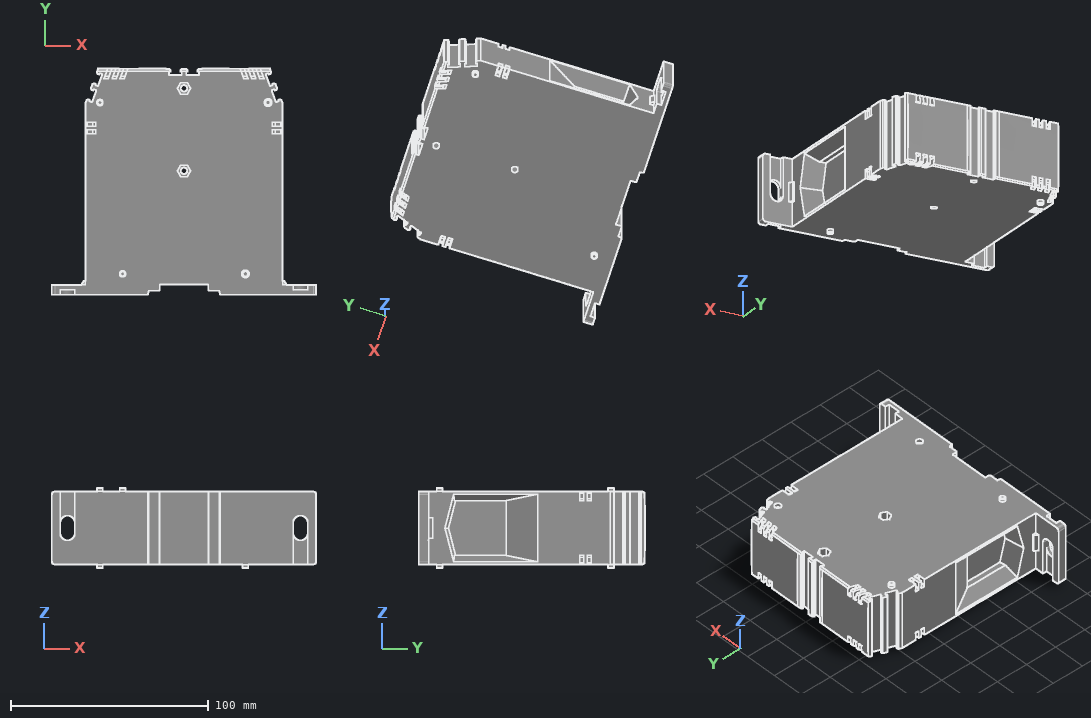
import cadquery as cq
import math

thickness = 37.0
half_thickness = thickness / 2
total_depth = 114.85
rear_y = 114.4
body_half_width = 50.0
shoulder_y = 97.0
rear_half_width = 43.6
rear_chamfer_y = 1.1
rear_chamfer_z = 0.6

flange_width = 134.0
flange_thickness = 5.0
flange_corner_radius = 1.5
rail_wide_half = 18.25
rail_narrow_half = 12.6
rail_shallow_depth = 2.0
rail_deep_depth = 5.1
rail_wall_draft = 0.45
rail_mouth_bevel = 0.4

slot_x = 59.0
slot_width = 7.3
slot_length = 12.4
slot_front_depth = 2.5

t_slot_width = 15.0
t_slot_mouth = 13.6
t_slot_depth = 2.95
t_lip_height = 1.5
t_rib_neck = 2.4
t_rib_head = 3.6
t_edge_bevel = 0.6

pad_inner_x = 9.2
pad_half_height = 17.9
pad_root_depth = 0.5

notch_width = 2.1
side_notch_ys = (82.6, 86.4)
rear_notch_xs = (31.4, 35.4, 39.5)
side_notch_reach = 5.2
rear_notch_reach = 5.0
notch_drop = 4.7
notch_floor_inset = 3.8
notch_outer_chamfer = 1.1
notch_end_rise = 0.9
notch_overrun = 3.0

grip_rear_y = 60.2
grip_ramp_end_y = 44.3
grip_ramp_depth = 8.5
grip_depth = 12.0
grip_mouth_half_height = 17.1
grip_floor_half_height = 13.9
grip_tip_y = 13.3
grip_tip_lean = 1.8
grip_v_slope = 0.258

nub_half_height = 5.2
nub_reach = 2.1
nub_height = 2.0
nub_crest = 0.8
pin_diameter = 3.1
pin_height = 2.0
pin_edge_chamfer = 0.4
socket_diameter = 3.8
socket_bottom_diameter = 2.6
socket_depth = 2.0
rear_pin = (42.6, 97.4)
front_pin = (31.1, 10.6)
hex_flats = 5.8
hex_depth = 6.0
screw_hole_diameter = 3.2
screw_ys = (62.8, 104.6)

shoulder_run = body_half_width - rear_half_width
shoulder_rise = rear_y - shoulder_y
shoulder_lean = math.degrees(math.atan2(shoulder_run, shoulder_rise))


def mirror_x(shape):
    """Return the shape joined with its mirror image across x = 0."""
    return shape.union(shape.mirror("YZ"))


def mirror_z(shape):
    """Return the shape joined with its mirror image across z = 0."""
    return shape.union(shape.mirror("XY"))


def full_height_prism(points):
    """Extrude an XY outline through the housing thickness."""
    return cq.Workplane("XY").polyline(points).close().extrude(half_thickness, both=True)


def make_body():
    outline = [
        (-body_half_width, 0),
        (-body_half_width, shoulder_y),
        (-rear_half_width, rear_y),
        (rear_half_width, rear_y),
        (body_half_width, shoulder_y),
        (body_half_width, 0),
    ]
    body = full_height_prism(outline)
    edge_strip = (
        cq.Workplane("YZ")
        .polyline([
            (rear_y - rear_chamfer_y, half_thickness),
            (rear_y, half_thickness - rear_chamfer_z),
            (rear_y, half_thickness),
        ])
        .close()
        .extrude(body_half_width, both=True)
    )
    return body.cut(mirror_z(edge_strip))


def make_flange():
    return (
        cq.Workplane("XZ")
        .rect(flange_width, thickness)
        .extrude(-flange_thickness)
        .edges("|Y")
        .fillet(flange_corner_radius)
    )


def make_rail_recess():
    half_outline = [
        (rail_wide_half, 0),
        (rail_wide_half - rail_wall_draft, rail_shallow_depth),
        (rail_narrow_half, rail_shallow_depth),
        (rail_narrow_half - rail_mouth_bevel, rail_shallow_depth + rail_mouth_bevel),
        (rail_narrow_half - rail_mouth_bevel, rail_deep_depth),
    ]
    mirrored = [(-x, y) for x, y in reversed(half_outline)]
    return full_height_prism(half_outline + mirrored)


def make_slot_channels():
    """Slot in the right ear: front channel open at the bottom, back channel open at the top."""
    end_offset = (slot_length - slot_width) / 2
    channel_length = half_thickness + end_offset

    def channel(start_y, depth, z_direction):
        plane = cq.Workplane("XZ", origin=(slot_x, start_y, 0))
        straight = (
            plane.center(0, z_direction * (channel_length / 2 - end_offset))
            .rect(slot_width, channel_length)
            .extrude(-depth)
        )
        round_end = plane.center(0, -z_direction * end_offset).circle(slot_width / 2).extrude(-depth)
        return straight.union(round_end)

    front = channel(0, slot_front_depth, -1)
    back = channel(slot_front_depth, flange_thickness - slot_front_depth, 1)
    return front.union(back)


def make_t_slot():
    """T-slot with a central T-rib, opening toward +Y with its mouth at y = 0."""
    channel = (
        cq.Workplane("XY")
        .center(0, -(t_slot_depth + t_lip_height) / 2)
        .rect(t_slot_width, t_slot_depth - t_lip_height)
        .extrude(half_thickness, both=True)
    )
    mouth_half = t_slot_mouth / 2
    mouth = full_height_prism([
        (-mouth_half, -t_slot_depth),
        (-mouth_half, -t_edge_bevel),
        (-mouth_half - t_edge_bevel, 0),
        (mouth_half + t_edge_bevel, 0),
        (mouth_half, -t_edge_bevel),
        (mouth_half, -t_slot_depth),
    ])
    rib_neck = (
        cq.Workplane("XY")
        .center(0, -t_slot_depth / 2)
        .rect(t_rib_neck, t_slot_depth)
        .extrude(half_thickness, both=True)
    )
    rib_head = (
        cq.Workplane("XY")
        .center(0, -t_lip_height / 2)
        .rect(t_rib_head, t_lip_height)
        .extrude(half_thickness, both=True)
        .edges(">Y and |Z")
        .chamfer(t_edge_bevel)
    )
    return channel.union(mouth).cut(rib_neck).cut(rib_head)


def make_shoulder_t_slots():
    middle_x = (body_half_width + rear_half_width) / 2
    middle_y = (shoulder_y + rear_y) / 2
    slot = (
        make_t_slot()
        .rotate((0, 0, 0), (0, 0, 1), shoulder_lean - 90)
        .translate((middle_x, middle_y, 0))
    )
    return mirror_x(slot)


def make_label_pads():
    """Label pads whose rear faces bulge as an arc across the thickness."""
    pad = (
        cq.Workplane("YZ", origin=(pad_inner_x, 0, 0))
        .moveTo(rear_y - pad_root_depth, -pad_half_height)
        .lineTo(rear_y, -pad_half_height)
        .threePointArc((total_depth, 0), (rear_y, pad_half_height))
        .lineTo(rear_y - pad_root_depth, pad_half_height)
        .close()
        .extrude(rear_half_width - pad_inner_x)
    )
    return mirror_x(pad)


def notch_section(edge, reach):
    """Corner-notch outline as (position, z); edge is the position of the side face."""
    floor_z = half_thickness - notch_floor_inset
    return [
        (edge - reach, half_thickness),
        (edge - notch_floor_inset, half_thickness - notch_end_rise),
        (edge - notch_floor_inset, floor_z),
        (edge - notch_outer_chamfer, floor_z),
        (edge, half_thickness - notch_drop),
        (edge + notch_overrun, half_thickness - notch_drop),
        (edge + notch_overrun, half_thickness),
    ]


def make_side_notches():
    notches = cq.Workplane("XY")
    for y in side_notch_ys:
        notch = (
            cq.Workplane("XZ", origin=(0, y, 0))
            .polyline(notch_section(body_half_width, side_notch_reach))
            .close()
            .extrude(notch_width / 2, both=True)
        )
        notches = notches.add(notch)
    return mirror_z(mirror_x(notches.combine()))


def make_rear_notches():
    """Notches through the rear edges, leaning parallel to the shoulders."""
    inner_end_y = rear_y - rear_notch_reach
    lean = math.tan(math.radians(shoulder_lean))
    reach = rear_notch_reach + notch_overrun
    notches = cq.Workplane("XY")
    for x in rear_notch_xs:
        outline = notch_section(rear_y, rear_notch_reach)
        block = cq.Workplane("YZ").polyline(outline).close().extrude(body_half_width)
        half = notch_width / 2
        band = full_height_prism([
            (x - half, inner_end_y),
            (x + half, inner_end_y),
            (x + half - reach * lean, inner_end_y + reach),
            (x - half - reach * lean, inner_end_y + reach),
        ])
        notches = notches.add(block.intersect(band))
    return mirror_z(mirror_x(notches.combine()))


def make_grips():
    """Ramped recess in each flank with drafted walls and a V-shaped front end."""
    mouth_x = body_half_width
    ramp_x = mouth_x - grip_ramp_depth
    floor_x = mouth_x - grip_depth
    ramp = full_height_prism([
        (mouth_x, grip_rear_y),
        (ramp_x, grip_ramp_end_y),
        (floor_x, grip_ramp_end_y),
        (floor_x, 0),
        (mouth_x, 0),
    ])
    walls = (
        cq.Workplane("XZ")
        .polyline([
            (mouth_x, grip_mouth_half_height),
            (ramp_x, grip_floor_half_height),
            (floor_x, grip_floor_half_height),
            (floor_x, -grip_floor_half_height),
            (ramp_x, -grip_floor_half_height),
            (mouth_x, -grip_mouth_half_height),
        ])
        .close()
        .extrude(-grip_rear_y)
    )
    corner_rise = grip_v_slope * half_thickness

    def v_outline(tip_y):
        return [
            (tip_y, 0),
            (tip_y + corner_rise, half_thickness),
            (grip_rear_y, half_thickness),
            (grip_rear_y, -half_thickness),
            (tip_y + corner_rise, -half_thickness),
        ]

    v_end = (
        cq.Workplane("YZ", origin=(floor_x, 0, 0))
        .polyline(v_outline(grip_tip_y + grip_tip_lean))
        .close()
        .workplane(offset=grip_depth)
        .polyline(v_outline(grip_tip_y))
        .close()
        .loft(ruled=True)
    )
    return mirror_x(ramp.intersect(walls).intersect(v_end))


def make_nubs():
    """Small bevelled nubs in the corners between flange and flanks."""
    nub = (
        cq.Workplane("XY")
        .polyline([
            (body_half_width, flange_thickness),
            (body_half_width + nub_reach, flange_thickness),
            (body_half_width + nub_crest, flange_thickness + nub_height),
            (body_half_width, flange_thickness + nub_height),
        ])
        .close()
        .extrude(nub_half_height, both=True)
    )
    return mirror_x(nub)


def make_pin(x, y, side):
    """Locating pin on the top (side = 1) or bottom (side = -1) face."""
    pin = (
        cq.Workplane("XY", origin=(x, y, half_thickness))
        .circle(pin_diameter / 2)
        .extrude(pin_height)
        .faces(">Z")
        .chamfer(pin_edge_chamfer)
    )
    return pin if side > 0 else pin.mirror("XY")


def make_socket(x, y):
    """Tapered blind socket in the top face."""
    return (
        cq.Workplane("XY", origin=(x, y, half_thickness - socket_depth))
        .circle(socket_bottom_diameter / 2)
        .workplane(offset=socket_depth)
        .circle(socket_diameter / 2)
        .loft()
    )


def make_screw_hole(y):
    """Through hole with a hexagonal nut pocket in the top face."""
    hex_corners = hex_flats / math.cos(math.radians(30))
    pocket = (
        cq.Workplane("XY", origin=(0, y, half_thickness - hex_depth))
        .polygon(6, hex_corners)
        .extrude(hex_depth)
    )
    hole = cq.Workplane("XY", origin=(0, y, 0)).circle(screw_hole_diameter / 2)
    return pocket.union(hole.extrude(half_thickness, both=True))


part = make_body().cut(make_grips()).union(make_flange()).union(make_nubs())
part = part.cut(make_rail_recess())
right_slot = make_slot_channels()
left_slot = right_slot.rotate((0, 0, 0), (0, 1, 0), 180)
part = part.cut(right_slot).cut(left_slot)
part = part.cut(make_t_slot().translate((0, rear_y, 0))).cut(make_shoulder_t_slots())
part = part.union(make_label_pads())
part = part.cut(make_side_notches()).cut(make_rear_notches())

for pin_x, pin_y in (rear_pin, front_pin):
    part = part.union(make_pin(-pin_x, pin_y, 1))
    part = part.cut(make_socket(pin_x, pin_y))
part = part.union(make_pin(-rear_pin[0], rear_pin[1], -1))
part = part.union(make_pin(front_pin[0], front_pin[1], -1))

for screw_y in screw_ys:
    part = part.cut(make_screw_hole(screw_y))

result = part